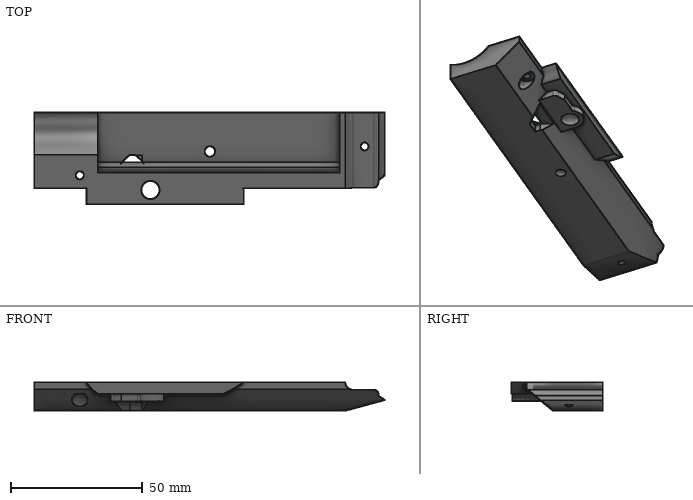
import cadquery as cq
import math


LENGTH = 133.86
HEIGHT = 10.8
BODY_FRONT = -29.0
BEVEL_ANGLE = 39.5
BEVEL_TOP = 8.15
BEVEL_SLOPE = math.tan(math.radians(BEVEL_ANGLE))
BEVEL_FOOT = BODY_FRONT + BEVEL_TOP / BEVEL_SLOPE

STEP_START = 118.75
SHELF_HEIGHT = 7.95
STEP_RADIUS = HEIGHT - SHELF_HEIGHT
NOSE_START = 129.6
NOSE_MIDDLE = (130.9, 7.35)
NOSE_END = (131.4, 5.65)
TIP_HEIGHT = 4.0
UNDERSIDE_TAPER_START = 119.1

POCKET_START = 24.3
POCKET_END = 116.65
FLOOR_HEIGHT = 3.3
FLOOR_FRONT = -18.95
LEDGE_REAR = -20.95
LEDGE_FRONT = -22.97
LEDGE_HEIGHT = FLOOR_HEIGHT + (FLOOR_FRONT - LEDGE_REAR) * BEVEL_SLOPE

GROOVE_RADIUS = 13.5
GROOVE_Y = -5.8
GROOVE_BOTTOM = 6.0

TAB_FRONT = -35.07
TAB_BOTTOM = 6.4
TAB_LEFT_TOP = 20.0
TAB_LEFT_MIDDLE = (21.8, 8.35)
TAB_LEFT_BOTTOM = 24.3
TAB_RIGHT_BOTTOM = 72.4
TAB_RIGHT_MIDDLE = (76.2, 8.35)
TAB_RIGHT_TOP = 80.0

LUG_BOTTOM = 3.6
BOSS_X = 44.4
BOSS_Y = -29.6
BOSS_RADIUS = 5.1
LUG_LEFT = 29.2
LUG_CORNER_START = -29.4
LUG_CORNER_MIDDLE = (29.55, -30.5)
LUG_CORNER_END = (30.4, -31.05)
LUG_FACE_START = 33.25
LUG_FACE_Y = -32.5
LUG_FACE_END = 39.3
LUG_BLEND_MIDDLE = (40.1, -32.6)
LUG_BLEND_END = 40.6

NOTCH_TOP = 3.1
NOTCH_FRONT = BEVEL_FOOT - LUG_BOTTOM / BEVEL_SLOPE
NOTCH_MOUTH_LEFT = 30.75
NOTCH_LEFT_MIDDLE = (33.7, -18.9)
NOTCH_MOUTH_RIGHT = 43.7
NOTCH_REAR = -16.3
NOTCH_REAR_LEFT = 36.5
NOTCH_RIGHT = 41.3
NOTCH_CORNER_Y = -18.5
OPENING_REAR_RIGHT = 38.6

MOUNT_HOLE = (17.45, -24.0, 3.0)
FLOOR_HOLE = (67.1, -14.9, 3.9)
BOSS_HOLE = (BOSS_X, BOSS_Y, 6.85)
SHELF_HOLE = (126.1, -13.0, 2.9)
COUNTERBORE_DIAMETER = 6.0
COUNTERBORE_TOP = TAB_BOTTOM


def along_x(outline, start, end):
    """Extrude a closed (y, z) outline from x = start to x = end."""
    return cq.Workplane("YZ", origin=(start, 0, 0)).polyline(outline).close().extrude(end - start)


def body():
    """Bevelled bar, stepped down to a shelf and tapered to a tip at the right end."""
    section = [(0, 0), (BEVEL_FOOT, 0), (BODY_FRONT, BEVEL_TOP), (BODY_FRONT, HEIGHT), (0, HEIGHT)]
    bar = along_x(section, 0, LENGTH)
    diagonal = math.sqrt(0.5)
    side = (
        cq.Workplane("XZ")
        .moveTo(0, 0)
        .lineTo(UNDERSIDE_TAPER_START, 0)
        .lineTo(LENGTH, TIP_HEIGHT)
        .lineTo(*NOSE_END)
        .threePointArc(NOSE_MIDDLE, (NOSE_START, SHELF_HEIGHT))
        .lineTo(STEP_START + STEP_RADIUS, SHELF_HEIGHT)
        .threePointArc(
            (STEP_START + STEP_RADIUS * (1 - diagonal), HEIGHT - STEP_RADIUS * diagonal),
            (STEP_START, HEIGHT),
        )
        .lineTo(0, HEIGHT)
        .close()
        .extrude(-BODY_FRONT)
    )
    return bar.intersect(side)


def tab():
    """Plate in front of the body, let into it as far as the pocket ledge."""
    return (
        cq.Workplane("XZ", origin=(0, LEDGE_FRONT, 0))
        .moveTo(TAB_LEFT_TOP, HEIGHT)
        .threePointArc(TAB_LEFT_MIDDLE, (TAB_LEFT_BOTTOM, TAB_BOTTOM))
        .lineTo(TAB_RIGHT_BOTTOM, TAB_BOTTOM)
        .threePointArc(TAB_RIGHT_MIDDLE, (TAB_RIGHT_TOP, HEIGHT))
        .close()
        .extrude(LEDGE_FRONT - TAB_FRONT)
    )


def lug():
    """Rounded boss and its left extension, hanging below the tab and running into the bevel."""
    blend_end_y = BOSS_Y - math.sqrt(BOSS_RADIUS**2 - (BOSS_X - LUG_BLEND_END) ** 2)
    return (
        cq.Workplane("XY", origin=(0, 0, LUG_BOTTOM))
        .moveTo(LUG_LEFT, LEDGE_FRONT)
        .lineTo(LUG_LEFT, LUG_CORNER_START)
        .threePointArc(LUG_CORNER_MIDDLE, LUG_CORNER_END)
        .lineTo(LUG_FACE_START, LUG_FACE_Y)
        .lineTo(LUG_FACE_END, LUG_FACE_Y)
        .threePointArc(LUG_BLEND_MIDDLE, (LUG_BLEND_END, blend_end_y))
        .threePointArc((BOSS_X, BOSS_Y - BOSS_RADIUS), (BOSS_X + BOSS_RADIUS, BOSS_Y))
        .lineTo(BOSS_X + BOSS_RADIUS, LEDGE_FRONT)
        .close()
        .extrude(TAB_BOTTOM - LUG_BOTTOM)
    )


def pocket():
    section = [
        (0, FLOOR_HEIGHT),
        (FLOOR_FRONT, FLOOR_HEIGHT),
        (LEDGE_REAR, LEDGE_HEIGHT),
        (LEDGE_FRONT, LEDGE_HEIGHT),
        (LEDGE_FRONT, HEIGHT),
        (0, HEIGHT),
    ]
    return along_x(section, POCKET_START, POCKET_END)


def groove():
    return (
        cq.Workplane("YZ")
        .center(GROOVE_Y, GROOVE_BOTTOM + GROOVE_RADIUS)
        .circle(GROOVE_RADIUS)
        .extrude(POCKET_START)
    )


def notch():
    """Recess open through the bevel, with a floor opening that leaves a thin web in one corner."""

    def left_and_rear(rear_right):
        return (
            cq.Workplane("XY")
            .moveTo(NOTCH_MOUTH_LEFT, NOTCH_FRONT)
            .threePointArc(NOTCH_LEFT_MIDDLE, (NOTCH_REAR_LEFT, NOTCH_REAR))
            .lineTo(rear_right, NOTCH_REAR)
        )

    def closed_at_right(outline, height):
        corner = outline.lineTo(NOTCH_RIGHT, NOTCH_CORNER_Y)
        return corner.lineTo(NOTCH_MOUTH_RIGHT, NOTCH_FRONT).close().extrude(height)

    recess = closed_at_right(left_and_rear(NOTCH_RIGHT), NOTCH_TOP)
    opening = closed_at_right(left_and_rear(OPENING_REAR_RIGHT), FLOOR_HEIGHT)
    return recess.union(opening)


def round_hole(x, y, diameter, top=HEIGHT):
    """Vertical cylinder from the underside up to the given height."""
    return cq.Workplane("XY").center(x, y).circle(diameter / 2).extrude(top)


result = body().union(tab()).union(lug())
result = result.cut(pocket()).cut(groove()).cut(notch())
for hole in (MOUNT_HOLE, FLOOR_HOLE, BOSS_HOLE, SHELF_HOLE):
    result = result.cut(round_hole(*hole))
mount_x, mount_y, _ = MOUNT_HOLE
result = result.cut(round_hole(mount_x, mount_y, COUNTERBORE_DIAMETER, COUNTERBORE_TOP))